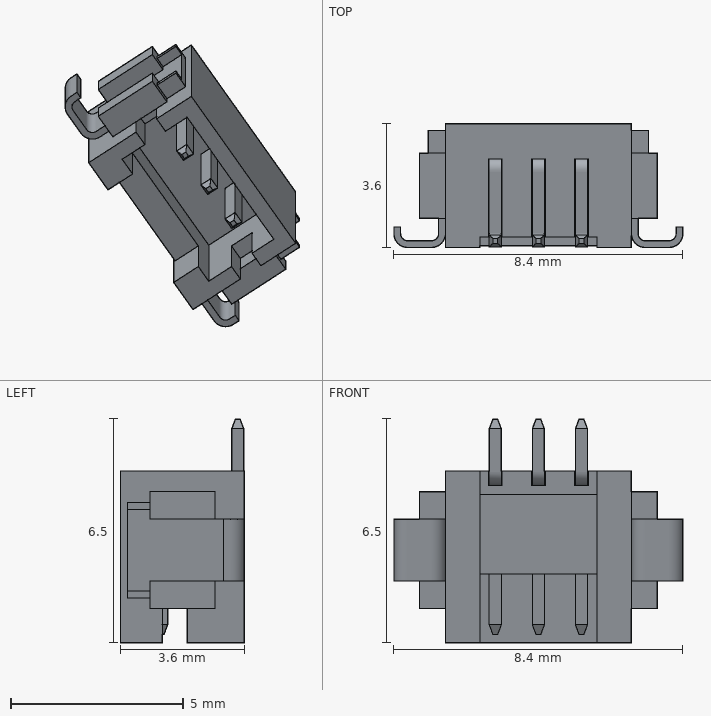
import cadquery as cq


body_width = 5.4
body_depth = 3.6
body_height = 5.0
leg_gap = 3.4
panel_bottom = 2.0
panel_top = 4.32
panel_setback = 0.05
ledge_depth = 0.3

cavity_width = 4.485
cavity_height = 3.5
front_wall = 0.865
cavity_depth = body_depth - front_wall - (body_width - cavity_width) / 2

notch_front = 1.66
notch_back = 2.385
notch_height = panel_bottom

pin_pitch = 1.25
pin_size = 0.35
pin_front = 0.02
pin_bend_radius = 0.39
pin_inner_radius = pin_bend_radius - pin_size
pin_back = 2.58
pin_top = 6.5
pin_bottom = 0.25
tip_length = 0.28
tip_size = 0.14
slot_width = 0.4
slot_depth = 0.43
slot_floor = body_height - slot_depth

block_reach = 0.76
block_height = 0.8
block_front = 0.85
block_back = 2.75

sheet = 0.2
clip_bottom = 1.8
clip_width = 1.8
clip_top = clip_bottom + clip_width
clip_bend_radius = 0.4
clip_inner_radius = clip_bend_radius - sheet
clip_reach = 4.2
clip_lip_height = 0.605
anchor_back = 3.4
anchor_bottom = 1.3
anchor_top = 4.08
tab_reach = 0.5

wall_x = body_width / 2
pin_positions = [-pin_pitch, 0, pin_pitch]


def box(x_range, y_range, z_range):
    """Box between the given limits along each axis."""
    size = [high - low for low, high in (x_range, y_range, z_range)]
    corner = (x_range[0], y_range[0], z_range[0])
    return cq.Workplane("XY").box(*size, centered=False).translate(corner)


def centered_box(width, y_range, z_range):
    """Box symmetric about x = 0."""
    return box((-width / 2, width / 2), y_range, z_range)


def make_housing():
    housing = centered_box(body_width, (0, body_depth), (0, body_height))
    cavity_y = (front_wall, front_wall + cavity_depth)
    cuts = [
        centered_box(cavity_width, cavity_y, (0, cavity_height)),
        centered_box(leg_gap, (0, front_wall), (0, panel_bottom)),
        centered_box(leg_gap, (0, panel_setback), (panel_bottom, panel_top)),
        centered_box(leg_gap, (0, ledge_depth), (panel_top, body_height)),
        centered_box(body_width, (notch_front, notch_back), (0, notch_height)),
    ]
    for x in pin_positions:
        slot = centered_box(slot_width, (0, pin_back), (slot_floor, body_height))
        cuts.append(slot.translate((x, 0, 0)))
    for cut in cuts:
        housing = housing.cut(cut)
    return housing


def make_tip(y, z, length):
    """Square taper starting at height z; a negative length points it down."""
    return (
        cq.Workplane("XY", origin=(0, y, z))
        .rect(pin_size, pin_size)
        .workplane(offset=length)
        .rect(tip_size, tip_size)
        .loft(ruled=True)
    )


def bend_corner(pin, outer, inner):
    """Round the outer and inner edges of a pin bend, each given as (y, z)."""
    for (y, z), radius in ((outer, pin_bend_radius), (inner, pin_inner_radius)):
        pin = pin.edges(cq.selectors.NearestToPointSelector((0, y, z))).fillet(radius)
    return pin


def make_pin():
    """Z-shaped square pin: solder post up, bar toward the back, contact post down."""
    post_end = pin_top - tip_length
    contact_end = pin_bottom + tip_length
    bar_top = slot_floor + pin_size
    contact_front = pin_back - pin_size
    solder_post = centered_box(pin_size, (pin_front, pin_front + pin_size), (slot_floor, post_end))
    bar = centered_box(pin_size, (pin_front, pin_back), (slot_floor, bar_top))
    contact_post = centered_box(pin_size, (contact_front, pin_back), (contact_end, bar_top))
    pin = solder_post.union(bar).union(contact_post)
    pin = bend_corner(pin, (pin_front, slot_floor), (pin_front + pin_size, bar_top))
    pin = bend_corner(pin, (pin_back, bar_top), (contact_front, slot_floor))
    pin = pin.union(make_tip(pin_front + pin_size / 2, post_end, tip_length))
    return pin.union(make_tip(pin_back - pin_size / 2, contact_end, -tip_length))


def make_blocks():
    x_range = (wall_x, wall_x + block_reach)
    y_range = (block_front, block_back)
    lower = box(x_range, y_range, (clip_bottom - block_height, clip_bottom))
    upper = box(x_range, y_range, (clip_top, clip_top + block_height))
    return lower.union(upper)


def make_clip():
    """Clip on the +X wall: J-shaped strip, wider anchor plate and two anchor tabs."""
    plate_outer = wall_x + sheet
    strip = (
        cq.Workplane("XY", origin=(0, 0, clip_bottom))
        .moveTo(wall_x, block_back)
        .lineTo(wall_x, clip_bend_radius)
        .radiusArc((wall_x + clip_bend_radius, 0), -clip_bend_radius)
        .lineTo(clip_reach - clip_bend_radius, 0)
        .radiusArc((clip_reach, clip_bend_radius), -clip_bend_radius)
        .lineTo(clip_reach, clip_lip_height)
        .lineTo(clip_reach - sheet, clip_lip_height)
        .lineTo(clip_reach - sheet, clip_bend_radius)
        .radiusArc((clip_reach - clip_bend_radius, sheet), clip_inner_radius)
        .lineTo(wall_x + clip_bend_radius, sheet)
        .radiusArc((plate_outer, clip_bend_radius), clip_inner_radius)
        .lineTo(plate_outer, block_back)
        .close()
        .extrude(clip_width)
    )
    anchor_y = (block_back, anchor_back)
    tab_x = (wall_x, wall_x + tab_reach)
    anchor = box((wall_x, plate_outer), anchor_y, (anchor_bottom, anchor_top))
    lower_tab = box(tab_x, anchor_y, (anchor_bottom, anchor_bottom + sheet))
    upper_tab = box(tab_x, anchor_y, (anchor_top - sheet, anchor_top))
    return strip.union(anchor).union(lower_tab).union(upper_tab)


result = make_housing()

pin = make_pin()
for x in pin_positions:
    result = result.union(pin.translate((x, 0, 0)))

side_parts = make_blocks().union(make_clip())
result = result.union(side_parts).union(side_parts.mirror("YZ"))